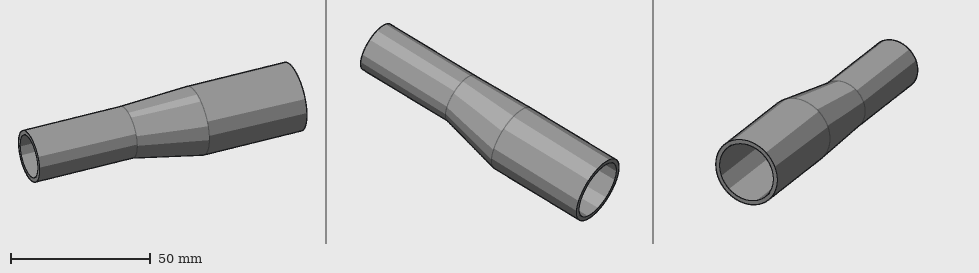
import cadquery as cq

large_diameter = 25.4
small_diameter = 19.1
wall = 1.6
total_length = 101.6
tube_length = 38.1
taper_length = total_length - 2 * tube_length

small_offset = -(large_diameter - small_diameter) / 2

taper_start = -taper_length / 2
taper_end = taper_length / 2


def section(y, x):
    """Plane across the tube at y, centred on x, with its normal along +Y."""
    return cq.Workplane(cq.Plane(origin=(x, y, 0), xDir=(1, 0, 0), normal=(0, 1, 0)))


def reducer(inset):
    """Solid reducer shape, with its surface moved inwards by inset."""
    small_radius = small_diameter / 2 - inset
    large_radius = large_diameter / 2 - inset
    small_tube = section(taper_start - tube_length, small_offset).circle(small_radius).extrude(tube_length)
    taper = (
        section(taper_start, small_offset)
        .circle(small_radius)
        .workplane(offset=taper_length)
        .center(-small_offset, 0)
        .circle(large_radius)
        .loft(ruled=True)
    )
    large_tube = section(taper_end, 0).circle(large_radius).extrude(tube_length)
    return small_tube.union(taper).union(large_tube)


result = reducer(0).cut(reducer(wall))